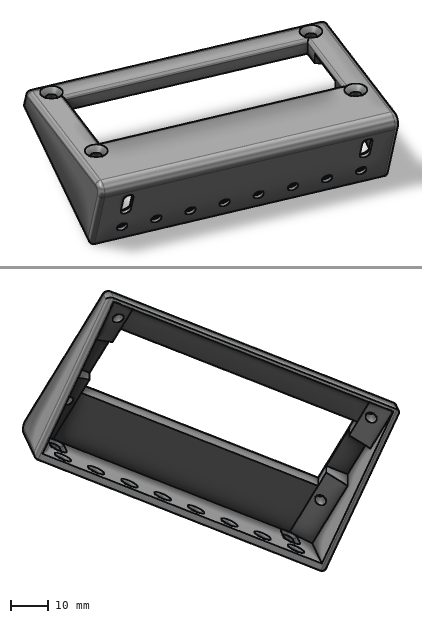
import cadquery as cq
import math

tilt = math.radians(20)
height = 23.5
width = 88.0
base_length = 49.5
end_wall = 2.0
back_wall = 2.0
front_wall = 1.0
front_top_radius = 2.1
back_top_radius = 3.0
end_edge_radius = 1.5

plate_thickness = 4.5
ledge_drop = 2.2

window_center_x = 21.9
window_length_x = 24.0
window_length_y = 71.1
window_edge_radius = 1.0
recess_length_x = 14.0
recess_roof = 1.5

bore = 3.0
sink_angle = 90
plate_screw_pitch_x = 31.0
plate_screw_pitch_y = 76.0
plate_sink = 6.2

wall_sink = 4.9
wall_hole_count = 8
wall_hole_span = 70.05
wall_hole_height = 5.0
slot_bottom_height = 12.5
slot_travel = 5.0
slot_angle = 90

sine = math.sin(tilt)
cosine = math.cos(tilt)
front_bottom = (0, base_length * sine)
back_bottom = (base_length * cosine, 0)
inner_front = (front_bottom[0] + front_wall * cosine, front_bottom[1] - front_wall * sine)
inner_back = (back_bottom[0] - back_wall * cosine, back_bottom[1] + back_wall * sine)

plate_underside = height - plate_thickness
cavity_end = width / 2 - end_wall
window_end = window_length_y / 2

window_plane = cq.Workplane("XY", origin=(window_center_x, 0, height))
back_wall_plane = cq.Plane(
    origin=(inner_back[0], 0, inner_back[1]),
    xDir=(0, -1, 0),
    normal=(-cosine, 0, sine),
)


def lean_up(start, z):
    """Point at height z on the line through start that leans like the front and back walls."""
    return (start[0] + (z - start[1]) * math.tan(tilt), z)


def prism(outline, half_width):
    """Extrude an XZ outline symmetrically along Y."""
    return cq.Workplane("XZ").polyline(outline).close().extrude(half_width, both=True)


def outer_body():
    front_top = lean_up(front_bottom, height)
    back_top = lean_up(back_bottom, height)
    body = prism([front_bottom, back_bottom, back_top, front_top], width / 2)
    for corner, radius in ((front_top, front_top_radius), (back_top, back_top_radius)):
        body = body.edges(cq.NearestToPointSelector((corner[0], 0, corner[1]))).fillet(radius)
    return body.faces("<Y or >Y").edges().fillet(end_edge_radius)


def cavity():
    """Space under the plate, open at the bottom, less a sloping ledge along each end wall."""
    outline = [
        inner_front,
        inner_back,
        lean_up(inner_back, plate_underside),
        lean_up(inner_front, plate_underside),
    ]
    space = prism(outline, cavity_end)
    ledge_length = lean_up(back_bottom, height)[0]
    for side in (-1, 1):
        ledge_profile = [
            (side * window_end, plate_underside),
            (side * cavity_end, plate_underside),
            (side * cavity_end, plate_underside - ledge_drop),
        ]
        space = space.cut(cq.Workplane("YZ").polyline(ledge_profile).close().extrude(ledge_length))
    return space


def display_recess():
    """Relief across the plate underside, from end wall to end wall and through the ledges."""
    recess_depth = plate_thickness + ledge_drop - recess_roof
    roof_plane = window_plane.workplane(offset=-recess_roof)
    return roof_plane.rect(recess_length_x, 2 * cavity_end).extrude(-recess_depth)


def back_wall_slot(along):
    """Round-ended slot, countersunk on the inner face of the back wall."""
    sink_depth = (wall_sink - bore) / 2
    face = cq.Workplane(back_wall_plane).center(along, slot_bottom_height + slot_travel / 2)
    through = face.slot2D(slot_travel + bore, bore, slot_angle).extrude(-2 * back_wall)
    sink = face.slot2D(slot_travel + wall_sink, wall_sink, slot_angle).extrude(-sink_depth, taper=sink_angle / 2)
    return through.union(sink)


housing = outer_body().cut(cavity()).cut(display_recess())

housing = housing.cut(window_plane.rect(window_length_x, window_length_y).extrude(-plate_thickness))
window_rim = housing.faces(">Z").wires(cq.NearestToPointSelector((window_center_x, 0, height)))
housing = window_rim.edges().fillet(window_edge_radius)

housing = (
    housing.copyWorkplane(window_plane)
    .rarray(plate_screw_pitch_x, plate_screw_pitch_y, 2, 2)
    .cskHole(bore, plate_sink, sink_angle, depth=plate_thickness + ledge_drop)
)

housing = (
    housing.copyWorkplane(cq.Workplane(back_wall_plane))
    .center(0, wall_hole_height)
    .rarray(wall_hole_span / (wall_hole_count - 1), 0.9, wall_hole_count, 1)
    .cskHole(bore, wall_sink, sink_angle, depth=2 * back_wall)
)

for side in (-1, 1):
    housing = housing.cut(back_wall_slot(side * wall_hole_span / 2))

result = housing